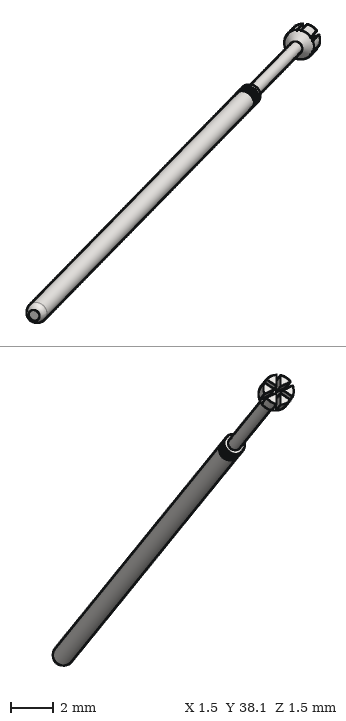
import cadquery as cq
import math

overall_length = 38.1
tip_y = overall_length / 2
tail_y = -overall_length / 2

head_radius = 0.75
head_length = 0.87
cone_length = 0.43
slot_count = 6
slot_width = 0.2
slot_depth = 0.85

shaft_radius = 0.32

barrel_radius = 0.505
barrel_length = 30.4
barrel_top_y = tail_y + barrel_length

groove_count = 2
first_groove_start = 0.28
groove_pitch = 0.41
groove_width = 0.22
groove_depth = 0.08

tail_round_length = 0.4
tail_flat_radius = 0.27


def barrel():
    """Barrel with a rounded tail, revolved about Y."""
    inset = barrel_radius - tail_flat_radius
    arc_radius = (inset**2 + tail_round_length**2) / (2 * inset)
    half_angle = math.asin(tail_round_length / arc_radius) / 2
    arc_middle = (
        barrel_radius - arc_radius * (1 - math.cos(half_angle)),
        tail_y + tail_round_length - arc_radius * math.sin(half_angle),
    )
    return (
        cq.Workplane("XY")
        .moveTo(0, tail_y)
        .lineTo(tail_flat_radius, tail_y)
        .threePointArc(arc_middle, (barrel_radius, tail_y + tail_round_length))
        .lineTo(barrel_radius, barrel_top_y)
        .lineTo(0, barrel_top_y)
        .close()
        .revolve(360, (0, 0, 0), (0, 1, 0))
    )


def crimp_groove(start):
    """V-shaped ring cutter whose upper edge lies `start` below the barrel mouth."""
    upper_y = barrel_top_y - start
    groove_bottom = (barrel_radius - groove_depth, upper_y - groove_width / 2)
    return (
        cq.Workplane("XY")
        .moveTo(barrel_radius, upper_y)
        .lineTo(*groove_bottom)
        .lineTo(barrel_radius, upper_y - groove_width)
        .close()
        .revolve(360, (0, 0, 0), (0, 1, 0))
    )


def plunger():
    """Shaft, cone and head blank, rooted in the barrel mouth."""
    head_base_y = tip_y - head_length
    return (
        cq.Workplane("XY")
        .moveTo(0, barrel_top_y)
        .lineTo(shaft_radius, barrel_top_y)
        .lineTo(shaft_radius, head_base_y - cone_length)
        .lineTo(head_radius, head_base_y)
        .lineTo(head_radius, tip_y)
        .lineTo(0, tip_y)
        .close()
        .revolve(360, (0, 0, 0), (0, 1, 0))
    )


def crown_slot(angle):
    """Radial slot cutter from the axis outward, open at the tip; 0 degrees points to +Z."""
    return (
        cq.Workplane("XY")
        .box(slot_width, slot_depth, 2 * head_radius, centered=(True, False, False))
        .translate((0, tip_y - slot_depth, 0))
        .rotate((0, 0, 0), (0, 1, 0), angle)
    )


result = barrel()
for groove_index in range(groove_count):
    result = result.cut(crimp_groove(first_groove_start + groove_index * groove_pitch))
result = result.union(plunger())
for slot_index in range(slot_count):
    result = result.cut(crown_slot(slot_index * 360 / slot_count))